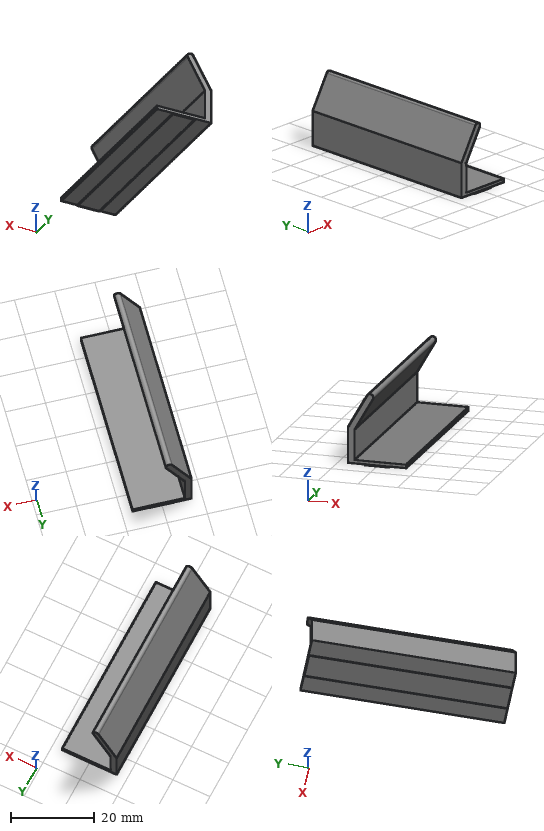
import cadquery as cq
import math

length = 50.0
flange_width = 14.7
flange_thickness = 0.9
wall_thickness = 1.7
bend_height = 9.0
lip_lean = 30.0
overall_height = 18.1
pad_thickness = 0.25
pad_width = 6.0
pad_offset = 4.35
pad_end_gap = 0.1

lean = math.radians(lip_lean)
tip_radius = wall_thickness / 2
tip_center_z = overall_height - pad_thickness - tip_radius
inner_bend_z = bend_height - wall_thickness * math.tan(lean / 2)
middle_bend_z = (bend_height + inner_bend_z) / 2
tip_center_x = tip_radius + (tip_center_z - middle_bend_z) * math.tan(lean)


def tip_point(angle):
    """Point on the tip circle, with the angle measured from +X toward +Z."""
    return (
        tip_center_x + tip_radius * math.cos(angle),
        tip_center_z + tip_radius * math.sin(angle),
    )


section = (
    cq.Workplane("XZ")
    .moveTo(0, 0)
    .lineTo(flange_width, 0)
    .lineTo(flange_width, flange_thickness)
    .lineTo(wall_thickness, flange_thickness)
    .lineTo(wall_thickness, inner_bend_z)
    .lineTo(*tip_point(-lean))
    .threePointArc(tip_point(math.pi / 2 - lean), tip_point(math.pi - lean))
    .lineTo(0, bend_height)
    .close()
)
bracket = section.extrude(length / 2, both=True)

pad_length = length - 2 * pad_end_gap
pad = cq.Workplane("XY").box(pad_width, pad_length, pad_thickness, centered=(False, True, False))
pad = pad.translate((pad_offset, 0, -pad_thickness))

result = bracket.union(pad)